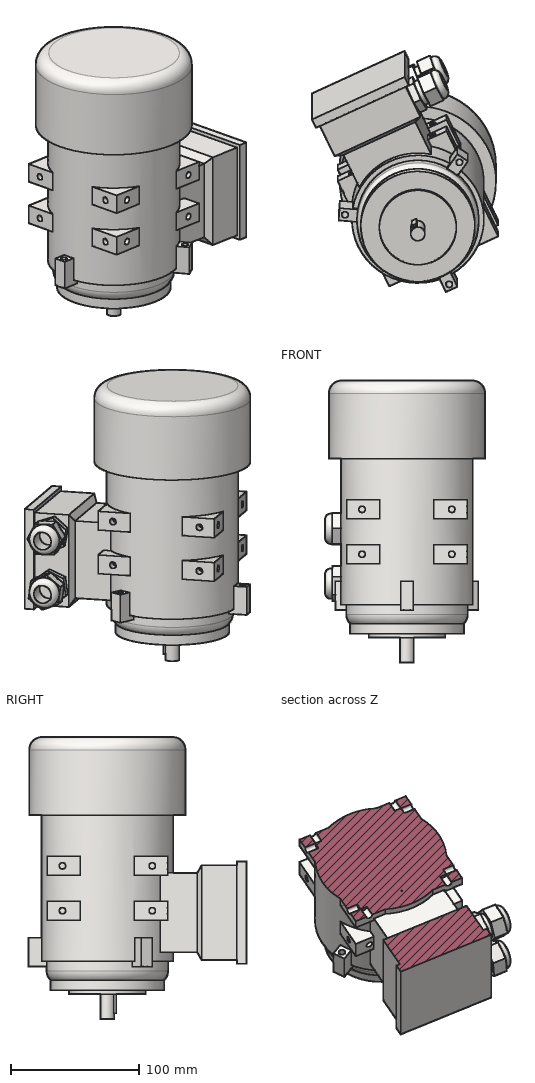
import cadquery as cq
import math


shaft_radius = 5.5
shaft_length = 22.5
key_width = 4.0
key_top = 7.0
key_end_gap = 4.5
spigot_radius = 30.0
spigot_height = 3.0
flange_radius = 44.5
flange_thickness = 8.0
shield_radius = 47.5
shield_round_radius = 10.0
shield_round_start = 15.2

body_radius = 51.5
body_bottom = 22.5
cowl_radius = 61.0
cowl_bottom = 136.5
cowl_top = 197.5
cowl_round_radius = 10.0

pad_reach = 47.0
pad_height = 15.0
pad_levels = (62.0, 97.0)
pad_hole_offset = 35.0
pad_hole_diameter = 5.0
pad_hole_depth = 9.0

lug_reach = 61.5
lug_width = 10.0
lug_bottom = 18.5
lug_height = 22.5
lug_hole_diameter = 5.0
lug_hole_radius = 57.0
lug_angles = (-90, 30, 150)

box_z = 60.5
neck_side = 62.0
box_side = 74.0
lid_side = 80.0
taper_start = 70.0
taper_end = 73.5
box_end = 101.0
lid_end = 108.5

gland_y = (taper_end + box_end) / 2
gland_spacing = 42.8
hex_corner_diameter = 28.0
locknut_length = 6.0
gland_neck_length = 4.0
gland_neck_radius = 10.0
cap_nut_length = 11.2
dome_length = 5.8
dome_radius = 12.0
dome_round_radius = 5.0
cable_hole_radius = dome_radius - dome_round_radius
cable_hole_depth = dome_length + cap_nut_length


def cylinder(radius, bottom, top):
    """Cylinder on the Z axis between two heights."""
    return cq.Workplane("XY").workplane(offset=bottom).circle(radius).extrude(top - bottom)


def box_between(x_range, y_range, z_range):
    """Axis-aligned block given by its limits along X, Y and Z."""
    size = [high - low for low, high in (x_range, y_range, z_range)]
    corner = (x_range[0], y_range[0], z_range[0])
    return cq.Workplane("XY").box(*size, centered=False).translate(corner)


def make_bearing_shield():
    """Shield whose lower edge curves inward until it meets the flange."""
    drop = shield_round_start - flange_thickness

    def round_point(depth):
        inset = shield_round_radius - math.sqrt(shield_round_radius ** 2 - depth ** 2)
        return (shield_radius - inset, shield_round_start - depth)

    return (
        cq.Workplane("XZ")
        .moveTo(0, flange_thickness)
        .lineTo(*round_point(drop))
        .threePointArc(round_point(drop / 2), round_point(0))
        .lineTo(shield_radius, body_bottom)
        .lineTo(0, body_bottom)
        .close()
        .revolve(360, (0, 0, 0), (0, 1, 0))
    )


def make_shaft():
    """Shaft end with its key on the +Y side."""
    shaft = cylinder(shaft_radius, -shaft_length, 0)
    key = box_between(
        (-key_width / 2, key_width / 2),
        (0, key_top),
        (key_end_gap - shaft_length, 0),
    )
    return shaft.union(key)


def make_motor_body():
    """All the round parts of the motor, from the shaft up to the fan cowl."""
    cowl = cylinder(cowl_radius, cowl_bottom, cowl_top).faces(">Z").edges().fillet(cowl_round_radius)
    return (
        cylinder(body_radius, body_bottom, cowl_bottom)
        .union(cowl)
        .union(make_bearing_shield())
        .union(cylinder(flange_radius, 0, flange_thickness))
        .union(cylinder(spigot_radius, -spigot_height, 0))
        .union(make_shaft())
    )


def make_pad(level):
    """Pad at the -X -Y corner, reaching inward far enough to be buried in the body."""
    inner = math.sqrt(body_radius ** 2 - pad_reach ** 2)
    limits = (-pad_reach, -inner)
    return box_between(limits, limits, (level - pad_height / 2, level + pad_height / 2))


def make_pad_holes(level):
    """One blind hole in each of the two outer faces of the -X -Y pad."""
    radius = pad_hole_diameter / 2
    x_start = cq.Vector(-pad_reach, -pad_hole_offset, level)
    y_start = cq.Vector(-pad_hole_offset, -pad_reach, level)
    x_hole = cq.Solid.makeCylinder(radius, pad_hole_depth, x_start, cq.Vector(1, 0, 0))
    y_hole = cq.Solid.makeCylinder(radius, pad_hole_depth, y_start, cq.Vector(0, 1, 0))
    return cq.Workplane(x_hole).add(y_hole).combine()


def make_lug(angle):
    """Bolt lug pointing out from the axis at the given angle, with a vertical through hole."""
    inner = flange_radius
    lug = box_between(
        (inner, lug_reach),
        (-lug_width / 2, lug_width / 2),
        (lug_bottom, lug_bottom + lug_height),
    )
    hole = cylinder(lug_hole_diameter / 2, lug_bottom, lug_bottom + lug_height)
    return lug.cut(hole.translate((lug_hole_radius, 0, 0))).rotate((0, 0, 0), (0, 0, 1), angle)


def square_block(side, start, end):
    """Square block on the terminal box axis, running along Y."""
    half = side / 2
    return box_between((-half, half), (start, end), (box_z - half, box_z + half))


def make_terminal_box():
    """Neck, taper, box and lid stacked outward along +Y."""
    taper = (
        cq.Workplane("XZ", origin=(0, taper_start, box_z))
        .rect(neck_side, neck_side)
        .workplane(offset=taper_start - taper_end)
        .rect(box_side, box_side)
        .loft(ruled=True)
    )
    return (
        square_block(neck_side, 0, taper_start)
        .union(taper)
        .union(square_block(box_side, taper_end, box_end))
        .union(square_block(lid_side, box_end, lid_end))
    )


def make_hex(length, corner_angle):
    """Hexagonal prism with a corner turned by the given angle from +Y towards +Z."""
    prism = cq.Workplane("XY").polygon(6, hex_corner_diameter).extrude(length)
    return prism.rotate((0, 0, 0), (0, 0, 1), -corner_angle)


def make_gland(z, locknut_angle, cap_nut_angle):
    """Cable gland on the -X wall of the terminal box, built along Z and then turned outward."""
    neck_start = locknut_length
    cap_nut_start = neck_start + gland_neck_length
    dome_start = cap_nut_start + cap_nut_length
    dome_end = dome_start + dome_length
    dome = cylinder(dome_radius, dome_start, dome_end).faces(">Z").edges().fillet(dome_round_radius)
    gland = (
        make_hex(locknut_length, locknut_angle)
        .union(cylinder(gland_neck_radius, neck_start, cap_nut_start))
        .union(make_hex(cap_nut_length, cap_nut_angle).translate((0, 0, cap_nut_start)))
        .union(dome)
        .cut(cylinder(cable_hole_radius, dome_end - cable_hole_depth, dome_end))
    )
    wall = cq.Plane(origin=(-box_side / 2, gland_y, z), xDir=(0, 1, 0), normal=(-1, 0, 0))
    return cq.Workplane(gland.val().moved(cq.Location(wall)))


def add_pads(motor):
    """Add a drilled pad at each of the four corners, on every level."""
    for level in pad_levels:
        pad = make_pad(level)
        holes = make_pad_holes(level)
        for turn in (0, 90, 180, 270):
            motor = motor.union(pad.rotate((0, 0, 0), (0, 0, 1), turn))
            motor = motor.cut(holes.rotate((0, 0, 0), (0, 0, 1), turn))
    return motor


result = add_pads(make_motor_body().union(make_terminal_box()))
for lug_angle in lug_angles:
    result = result.union(make_lug(lug_angle))
result = result.union(make_gland(box_z + gland_spacing / 2, locknut_angle=40, cap_nut_angle=58))
result = result.union(make_gland(box_z - gland_spacing / 2, locknut_angle=22.5, cap_nut_angle=37.5))